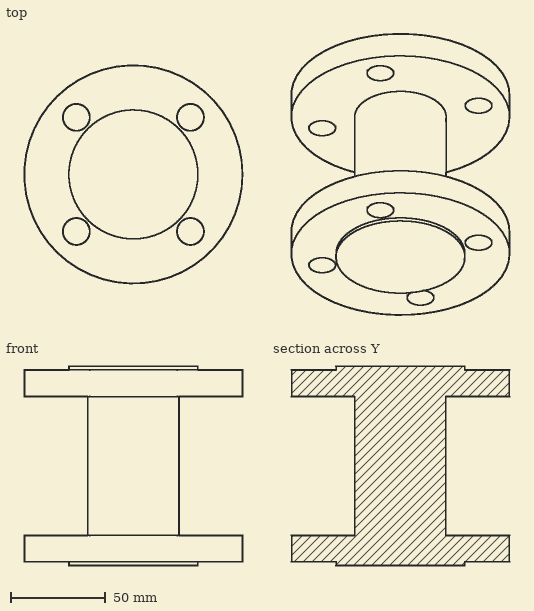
import cadquery as cq

flange_diameter = 115.0
total_length = 105.0

flange_thickness = 14.0
face_diameter = 68.0
face_height = 2.0
pipe_diameter = 48.2

bolt_hole_diameter = 14.0
bolt_circle_diameter = 85.0
bolt_count = 4
first_bolt_angle = 45.0
full_turn = 360.0


def disc(diameter, bottom, height):
    """Solid cylinder on the Z axis, starting at the given level."""
    return cq.Workplane("XY").workplane(offset=bottom).circle(diameter / 2).extrude(height)


def bolt_holes():
    """Cutters on the bolt circle, long enough to pass through both flanges."""
    return (
        cq.Workplane("XY")
        .workplane(offset=-total_length / 2)
        .polarArray(bolt_circle_diameter / 2, first_bolt_angle, full_turn, bolt_count)
        .circle(bolt_hole_diameter / 2)
        .extrude(total_length)
    )


def flanged_end():
    """Upper flange with its raised face."""
    face_level = total_length / 2 - face_height
    flange = disc(flange_diameter, face_level - flange_thickness, flange_thickness)
    return flange.union(disc(face_diameter, face_level, face_height))


upper_end = flanged_end()
lower_end = upper_end.mirror("XY")
pipe = disc(pipe_diameter, -total_length / 2, total_length)

result = pipe.union(upper_end).union(lower_end).cut(bolt_holes())